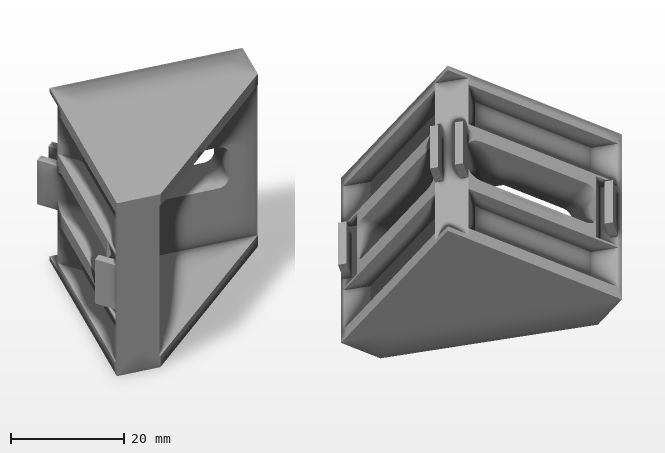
import cadquery as cq
import math

leg_length = 36.0
height = 38.0
leg_end_width = 8.1
leg_thickness = 8.0
plate_thickness = 2.5

corner_cut = 4.27
corner_cut_height = 36.0
recess_end = 35.2

pocket_depth = 3.45
pocket_inner_z = 7.45

slot_end = 30.68
slot_height = 9.0
slot_corner_radius = 2.0

groove_height = 13.98

tab_length = 4.0
tab_thickness = 1.5
tab_height = 9.7

inner_height = height - 2 * plate_thickness


def prism(points, prism_height, z_middle=0):
    """Extrude a plan outline, centred in height on z_middle."""
    outline = cq.Workplane("XY").polyline(points).close()
    return outline.extrude(prism_height / 2, both=True).translate((0, 0, z_middle))


def add_mirror(shape):
    """Add the matching shape on the other leg, reflected in the plane x = y."""
    return shape.union(shape.mirror("YZ").rotate((0, 0, 0), (0, 0, 1), -90))


def make_body():
    outline = [
        (0, 0),
        (leg_length, 0),
        (leg_length, leg_end_width),
        (leg_end_width, leg_length),
        (0, leg_length),
    ]
    return prism(outline, height)


def make_cavity():
    """Space between the legs, open along the sloping side."""
    outline = [
        (leg_thickness, leg_thickness),
        (leg_length, leg_thickness),
        (leg_length, leg_length),
        (leg_thickness, leg_length),
    ]
    return prism(outline, inner_height)


def make_corner_cut():
    return prism([(0, 0), (corner_cut, 0), (0, corner_cut)], corner_cut_height)


def make_pocket(side):
    """Pocket with 45 degree end walls, above (side = 1) or below (side = -1) the slot."""
    outline = [
        (corner_cut, 0),
        (recess_end, 0),
        (recess_end - pocket_depth, pocket_depth),
        (corner_cut + pocket_depth, pocket_depth),
    ]
    pocket_top_z = inner_height / 2
    z_middle = side * (pocket_top_z + pocket_inner_z) / 2
    return prism(outline, pocket_top_z - pocket_inner_z, z_middle)


def make_slot():
    """Rounded slot through a leg: one end wall at 45 degrees, the other square."""
    outline = [
        (corner_cut, 0),
        (slot_end, 0),
        (slot_end, leg_thickness),
        (corner_cut + leg_thickness, leg_thickness),
    ]
    slot = prism(outline, slot_height)
    square_end_edges = slot.edges("|Y").vals()
    sloping_end_edges = slot.edges(cq.selectors.ParallelDirSelector(cq.Vector(1, 1, 0))).vals()
    return slot.newObject(square_end_edges + sloping_end_edges).fillet(slot_corner_radius)


def make_groove():
    """V-groove that leaves room behind the outer tab."""
    half_width = (recess_end - slot_end) / 2
    outline = [
        (slot_end, 0),
        (recess_end, 0),
        (slot_end + half_width, half_width),
    ]
    return prism(outline, groove_height)


def make_tab(root_x):
    """Tab pointing outward at 45 degrees from a wall that meets the leg face at root_x."""
    reach = tab_length / math.sqrt(2)
    offset = tab_thickness / math.sqrt(2)
    outline = [
        (root_x, 0),
        (root_x - offset, offset),
        (root_x - offset - reach, offset - reach),
        (root_x - reach, -reach),
    ]
    return prism(outline, tab_height)


leg_cuts = make_slot().union(make_groove())
for side in (1, -1):
    leg_cuts = leg_cuts.union(make_pocket(side))

leg_tabs = make_tab(corner_cut).union(make_tab(recess_end))

result = (
    make_body()
    .cut(make_cavity())
    .cut(make_corner_cut())
    .cut(add_mirror(leg_cuts))
    .union(add_mirror(leg_tabs))
)